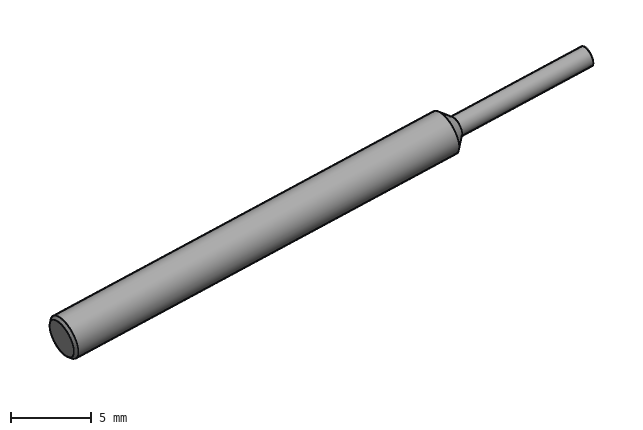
import cadquery as cq

total_length = 40.0
shank_diameter = 3.0
tip_diameter = 1.4
tip_length = 10.0
end_chamfer = 0.2

shank_radius = shank_diameter / 2
tip_radius = tip_diameter / 2

shoulder_length = shank_radius - tip_radius
tip_start = total_length - tip_length
shoulder_start = tip_start - shoulder_length


def stepped_pin():
    """Half profile (radius along X, length along Y) revolved about the Y axis."""
    half_profile = (
        cq.Workplane("XY")
        .moveTo(0, 0)
        .lineTo(shank_radius - end_chamfer, 0)
        .lineTo(shank_radius, end_chamfer)
        .lineTo(shank_radius, shoulder_start)
        .lineTo(tip_radius, tip_start)
        .lineTo(tip_radius, total_length)
        .lineTo(0, total_length)
        .close()
    )
    return half_profile.revolve(360, (0, 0, 0), (0, 1, 0))


result = stepped_pin()